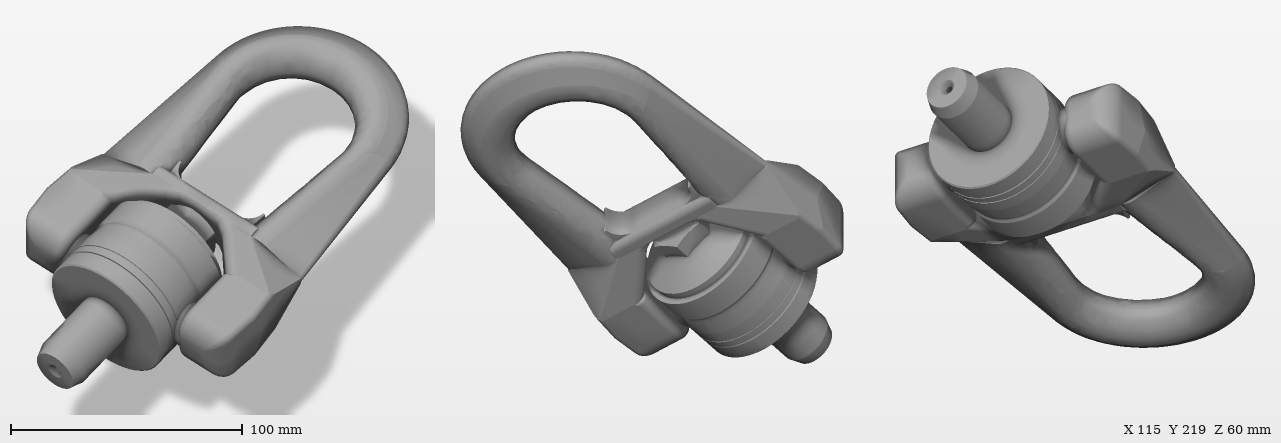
import cadquery as cq
import math


stud_diameter = 24.0
stud_length = 35.7
stud_tip_diameter = 20.0
stud_tip_length = 6.1
centre_hole_diameter = 3.0
centre_hole_depth = 6.5
centre_sink_diameter = 7.5

body_diameter = 60.0
shank_diameter = 42.0
flange_top = 9.2
flange_chamfer = 0.7

housing_top = 43.4
waist_top = 30.9
waist_step = 1.5
waist_depth = 0.9
waist_bottom = 19.5
groove_height = 13.1
groove_width = 0.7
groove_depth = 0.5

cap_diameter = 54.0
cap_height = 3.7
cone_top_diameter = 25.0
cone_height = 6.5
hex_across_flats = 24.0
hex_height = 8.3
hex_chamfer = 0.9

bow_top = 183.3
bow_outer_radius = 47.7
bow_inner_radius = 27.5
bow_inner_top = 158.0
outer_flare = 5.4
inner_flare = 6.4
arch_sections = 9
ring_half_height = 10.18
bow_rim_radius = 5.5
foot_rim_radius = 1.8

yoke_top = 67.5
bar_top = 74.2
bar_bottom = 65.5
bar_round = 3.3
corner_radius = 8.8
web_overlap = 1.0
lug_top = 44.2
lug_bottom = 9.2
lug_half_height = 15.0
lug_inner = 31.0
lug_bottom_half_width = 55.0
ridge_half_width = 57.49
ridge_end = 36.4
shoulder_half_width = 55.6
shoulder_top_half_width = 27.0
arch_flat_half_width = 10.3
arch_shoulder_half_width = 15.3
arch_shoulder = 62.2
arch_corner_round = 4.4
arch_round = 4.2
lug_bottom_round = 10.0
lug_side_round = 2.6
trunnion_diameter = 20.0
trunnion_axis = 19.5
trunnion_inner = 22.3

reach_past = 0.2
side_margin = 2.2

body_radius = body_diameter / 2
bow_outer_centre = bow_top - bow_outer_radius
bow_inner_centre = bow_inner_top - bow_inner_radius


def make_revolved(points):
    """Turn a closed outline of (radius, Y) points about the Y axis."""
    return cq.Workplane("XY").polyline(points).close().revolve(360, (0, 0), (0, 1))


def make_bolt():
    stud_radius = stud_diameter / 2
    cap_top = housing_top + cap_height
    cone_top = cap_top + cone_height
    hex_top = cone_top + hex_height
    turned = make_revolved([
        (0, -stud_length),
        (stud_tip_diameter / 2, -stud_length),
        (stud_radius, stud_tip_length - stud_length),
        (stud_radius, 0),
        (shank_diameter / 2, 0),
        (shank_diameter / 2, housing_top),
        (cap_diameter / 2, housing_top),
        (cap_diameter / 2, cap_top),
        (cone_top_diameter / 2, cone_top),
        (0, cone_top),
    ])
    hex_corner_radius = hex_across_flats / math.sqrt(3)
    hexagon = (
        cq.Workplane("XZ", origin=(0, cap_top, 0))
        .transformed(rotate=(0, 0, 90))
        .polygon(6, 2 * hex_corner_radius)
        .extrude(cap_top - hex_top)
    )
    crown = make_revolved([
        (0, cap_top),
        (hex_corner_radius, cap_top),
        (hex_corner_radius, hex_top - hex_chamfer),
        (hex_across_flats / 2, hex_top),
        (0, hex_top),
    ])
    sink_depth = (centre_sink_diameter - centre_hole_diameter) / 2
    centre_hole = make_revolved([
        (0, -stud_length),
        (centre_sink_diameter / 2, -stud_length),
        (centre_hole_diameter / 2, sink_depth - stud_length),
        (centre_hole_diameter / 2, centre_hole_depth - stud_length),
        (0, centre_hole_depth - stud_length),
    ])
    return turned.union(hexagon.intersect(crown)).cut(centre_hole)


def make_flange():
    return make_revolved([
        (shank_diameter / 2, 0),
        (body_radius - flange_chamfer, 0),
        (body_radius, flange_chamfer),
        (body_radius, flange_top - flange_chamfer),
        (body_radius - flange_chamfer, flange_top),
        (shank_diameter / 2, flange_top),
    ])


def make_trunnion(side):
    """Pivot pin of the shackle on one side (+1 or -1), lying along X."""
    return (
        cq.Workplane("YZ", origin=(side * trunnion_inner, trunnion_axis, 0))
        .circle(trunnion_diameter / 2)
        .extrude(side * (lug_inner + arch_round - trunnion_inner))
    )


def make_housing():
    housing = make_revolved([
        (shank_diameter / 2, flange_top),
        (body_radius, flange_top),
        (body_radius, groove_height - groove_width / 2),
        (body_radius - groove_depth, groove_height - groove_width / 2),
        (body_radius - groove_depth, groove_height + groove_width / 2),
        (body_radius, groove_height + groove_width / 2),
        (body_radius, waist_bottom),
        (body_radius - waist_depth, waist_top - waist_step),
        (body_radius, waist_top),
        (body_radius, housing_top),
        (shank_diameter / 2, housing_top),
    ])
    for side in (1, -1):
        housing = housing.cut(make_trunnion(side))
    return housing


def ring_section(inner, outer, rim_radius):
    """Closed cross-section of the ring between an inner and an outer point in the XY plane.

    It is a large circle at the inner edge and a small one at the rim, joined by two tangents."""
    width = math.dist(inner, outer)
    direction = ((outer[0] - inner[0]) / width, (outer[1] - inner[1]) / width, 0)
    plane = cq.Plane(origin=(*inner, 0), xDir=direction, normal=(direction[1], -direction[0], 0))
    centre_distance = width - ring_half_height - rim_radius
    slope = math.asin((ring_half_height - rim_radius) / centre_distance)

    def on_inner(angle):
        return (ring_half_height * (1 + math.cos(angle)), ring_half_height * math.sin(angle))

    def on_rim(angle):
        return (width + rim_radius * (math.cos(angle) - 1), rim_radius * math.sin(angle))

    tangent = math.pi / 2 - slope
    middle = (math.pi + tangent) / 2
    return (
        cq.Workplane(plane)
        .threePointArc(on_inner(middle), on_inner(tangent))
        .lineTo(*on_rim(tangent))
        .threePointArc(on_rim(tangent / 2), on_rim(0))
        .threePointArc(on_rim(-tangent / 2), on_rim(-tangent))
        .lineTo(*on_inner(-tangent))
        .threePointArc(on_inner(-middle), (0, 0))
        .close()
        .val()
    )


def point_on_arc(radius, centre_y, degrees):
    angle = math.radians(degrees)
    return (radius * math.cos(angle), centre_y + radius * math.sin(angle))


def inner_leg_x(y):
    """Half width of the opening where its straight side passes the height y."""
    start = point_on_arc(bow_inner_radius, bow_inner_centre, -inner_flare)
    return start[0] - (start[1] - y) * math.tan(math.radians(inner_flare))


def outer_leg_x(y):
    """Half width of the shackle where its straight side passes the height y."""
    start = point_on_arc(bow_outer_radius, bow_outer_centre, outer_flare)
    return start[0] + (start[1] - y) * math.tan(math.radians(outer_flare))


def make_ring():
    """The bow and its two straight legs, down to the top of the yoke."""
    arch = []
    for index in range(arch_sections):
        share = index / (arch_sections - 1)
        arch.append(ring_section(
            point_on_arc(bow_inner_radius, bow_inner_centre, share * (180 + 2 * inner_flare) - inner_flare),
            point_on_arc(bow_outer_radius, bow_outer_centre, share * (180 - 2 * outer_flare) + outer_flare),
            bow_rim_radius,
        ))
    bow = cq.Workplane(cq.Solid.makeLoft(arch))
    foot = ring_section(
        (inner_leg_x(yoke_top), yoke_top), (outer_leg_x(yoke_top), yoke_top), foot_rim_radius
    )
    leg = cq.Workplane(cq.Solid.makeLoft([foot, arch[0]], True))
    return bow.union(leg).union(leg.mirror("YZ"))


def trim_outside(body, first, second, third):
    """Cut away everything on the far side, seen from the Y axis, of a plane through three points."""
    size = 131.5
    origin = cq.Vector(*first)
    normal = (cq.Vector(*second) - origin).cross(cq.Vector(*third) - origin)
    if normal.x * first[0] < 0:
        normal = -normal
    plane = cq.Plane(origin=origin, xDir=cq.Vector(*second) - origin, normal=normal)
    return body.cut(cq.Workplane(plane).rect(size, size).extrude(size))


def make_yoke():
    """The two lugs and the shoulders between them, before the arch is cut out."""
    top_half_width = outer_leg_x(yoke_top)
    outline = (
        cq.Workplane("XY", origin=(0, 0, -lug_half_height))
        .polyline([
            (-top_half_width, yoke_top), (top_half_width, yoke_top),
            (ridge_half_width, ridge_end), (lug_bottom_half_width, lug_bottom),
            (-lug_bottom_half_width, lug_bottom), (-ridge_half_width, ridge_end),
        ])
        .close()
        .extrude(2 * lug_half_height)
    )
    thickness = (
        cq.Workplane("YZ", origin=(-ridge_half_width, 0, 0))
        .polyline([
            (lug_bottom, -lug_half_height), (lug_top, -lug_half_height),
            (yoke_top, -ring_half_height), (yoke_top, ring_half_height),
            (lug_top, lug_half_height), (lug_bottom, lug_half_height),
        ])
        .close()
        .extrude(2 * ridge_half_width)
    )
    yoke = outline.intersect(thickness).faces("<Y").edges().fillet(lug_bottom_round)
    for side in (1, -1):
        for face in (1, -1):
            yoke = trim_shoulder(yoke, side, face)
    return round_lug_sides(yoke)


def trim_shoulder(yoke, side, face):
    """Slope one corner of the yoke: a facet above the shoulder and a facet along the side ridge."""
    shoulder = (side * shoulder_half_width, lug_top, face * lug_half_height)
    rim = (side * outer_leg_x(yoke_top), yoke_top, face * foot_rim_radius)
    crest = (side * shoulder_top_half_width, yoke_top, face * ring_half_height)
    ridge_start = (side * outer_leg_x(yoke_top), yoke_top, 0)
    ridge_finish = (side * ridge_half_width, ridge_end, 0)
    yoke = trim_outside(yoke, shoulder, crest, rim)
    return trim_outside(yoke, ridge_start, ridge_finish, shoulder)


def round_lug_sides(yoke):
    """Round the long edges between the flat faces and the outer sides of the lugs."""
    inner_x = ridge_half_width - side_margin
    outer_x = ridge_half_width + side_margin
    low_z = lug_half_height - reach_past
    high_z = lug_half_height + reach_past
    for side in (1, -1):
        for face in (1, -1):
            edge_box = cq.selectors.BoxSelector(
                (side * inner_x, lug_bottom + lug_bottom_round, face * low_z),
                (side * outer_x, lug_top - side_margin, face * high_z),
            )
            yoke = yoke.edges(edge_box).fillet(lug_side_round)
    return yoke


def make_bar():
    """Cross bar at the lower end of the opening, rounded towards the opening."""
    return (
        cq.Workplane("XY", origin=(0, (yoke_top + bar_top) / 2, 0))
        .box(2 * shoulder_top_half_width, bar_top - yoke_top, 2 * ring_half_height)
        .faces(">Y")
        .edges("|X")
        .fillet(bar_round)
    )


def make_corner_web(side):
    """Web that rounds the corner between the bar and one leg."""
    half_height = ring_half_height - bar_round
    flare = math.radians(inner_flare)
    angle = math.radians(45) + flare / 2
    corner_x = inner_leg_x(bar_top)
    reach = corner_radius * math.tan(math.radians(45) - flare / 2)
    leg_end = (corner_x + reach * math.sin(flare), bar_top + reach * math.cos(flare))
    centre = (corner_x - reach, bar_top + corner_radius)
    middle = (
        centre[0] + corner_radius * math.sin(angle),
        centre[1] - corner_radius * math.cos(angle),
    )
    return (
        cq.Workplane("XY", origin=(0, 0, -half_height))
        .moveTo(side * (corner_x - reach), bar_top - web_overlap)
        .lineTo(side * (corner_x - reach), bar_top)
        .threePointArc((side * middle[0], middle[1]), (side * leg_end[0], leg_end[1]))
        .lineTo(side * (leg_end[0] + web_overlap), leg_end[1])
        .lineTo(side * (corner_x + web_overlap), bar_top - web_overlap)
        .close()
        .extrude(2 * half_height)
    )


def make_arch():
    """The space under the bar and between the lugs."""
    right_half = [
        (arch_flat_half_width, bar_bottom),
        (arch_shoulder_half_width, arch_shoulder),
        (lug_inner, lug_top),
        (lug_inner, 0),
    ]
    left_half = [(-x, y) for x, y in reversed(right_half)]
    return (
        cq.Workplane("XY", origin=(0, 0, -lug_half_height))
        .polyline(right_half + left_half)
        .close()
        .extrude(2 * lug_half_height)
        .edges("|Z")
        .edges(">Y")
        .fillet(arch_corner_round)
    )


def make_shackle():
    shackle = make_yoke().union(make_bar()).cut(make_arch())
    arch_edges = cq.selectors.BoxSelector(
        (-lug_inner - reach_past, lug_bottom + reach_past, -lug_half_height - reach_past),
        (lug_inner + reach_past, bar_bottom + reach_past, lug_half_height + reach_past),
    )
    shackle = shackle.edges(arch_edges).edges("not(|Z)").fillet(arch_round)
    shackle = shackle.union(make_ring())
    for side in (1, -1):
        shackle = shackle.union(make_corner_web(side)).union(make_trunnion(side))
    return shackle


bolt = make_bolt()
flange = make_flange()
housing = make_housing()
shackle = make_shackle()

result = cq.Compound.makeCompound([shackle.val(), housing.val(), flange.val(), bolt.val()])